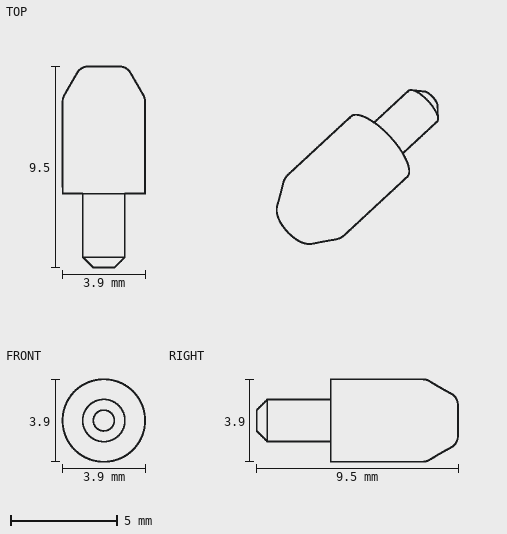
import cadquery as cq
import math

total_length = 9.5
head_diameter = 3.9
head_length = 6.0
nose_length = 1.5
nose_half_angle = 30.0
nose_fillet = 0.6
pin_diameter = 1.995
pin_chamfer = 0.5

head_radius = head_diameter / 2
nose_start = head_length - nose_length
nose_tip_radius = head_radius - nose_length * math.tan(math.radians(nose_half_angle))
pin_radius = pin_diameter / 2
pin_length = total_length - head_length


def revolve_about_y(profile):
    """Turn a closed XY half-profile into a solid around the Y axis."""
    return profile.close().revolve(360, (0, 0, 0), (0, 1, 0))


def make_head():
    """Cylinder with a tapered nose, rounded at both ends of the taper."""
    profile = (
        cq.Workplane("XY")
        .lineTo(head_radius, 0)
        .lineTo(head_radius, nose_start)
        .lineTo(nose_tip_radius, head_length)
        .lineTo(0, head_length)
    )
    return revolve_about_y(profile).edges("%CIRCLE").edges("not <Y").fillet(nose_fillet)


def make_pin():
    """Plain pin butted against the head, with a chamfered free end."""
    profile = (
        cq.Workplane("XY")
        .lineTo(pin_radius, 0)
        .lineTo(pin_radius, -pin_length + pin_chamfer)
        .lineTo(pin_radius - pin_chamfer, -pin_length)
        .lineTo(0, -pin_length)
    )
    return revolve_about_y(profile)


head = make_head()
pin = make_pin()

result = cq.Compound.makeCompound([head.val(), pin.val()])